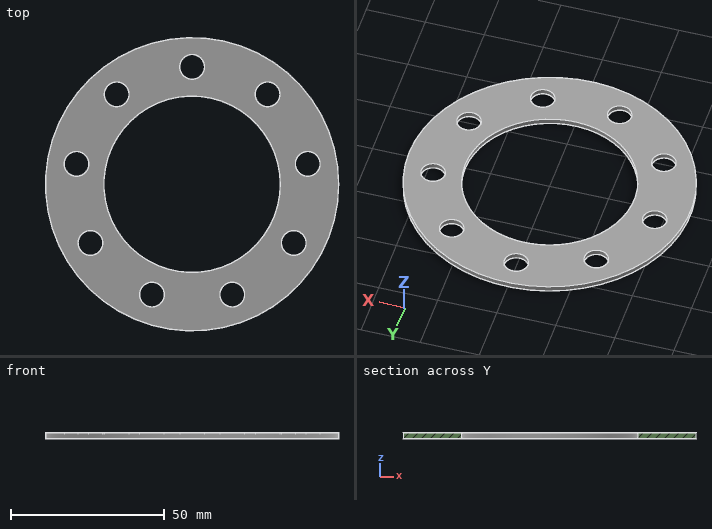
import cadquery as cq

outer_diameter = 95.25
bore_diameter = 57.15
thickness = 2.0

hole_count = 9
hole_diameter = 7.94
bolt_circle_radius = (outer_diameter + bore_diameter) / 4
first_hole_angle = 90.0


def make_ring():
    """Flat annular plate with its underside on the XY plane."""
    return (
        cq.Workplane("XY")
        .circle(outer_diameter / 2)
        .circle(bore_diameter / 2)
        .extrude(thickness)
    )


def make_bolt_holes():
    """Cylinders through the full thickness, one for each bolt hole."""
    return (
        cq.Workplane("XY")
        .polarArray(bolt_circle_radius, first_hole_angle, 360, hole_count)
        .circle(hole_diameter / 2)
        .extrude(thickness)
    )


result = make_ring().cut(make_bolt_holes())